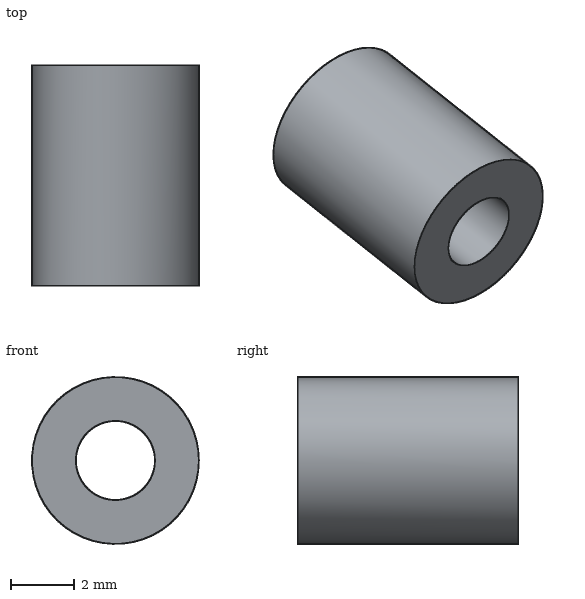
import cadquery as cq

length = 7.0
outer_diameter = 5.3
bore_diameter = 2.5

result = (
    cq.Workplane("XZ")
    .workplane(offset=-length / 2)
    .circle(outer_diameter / 2)
    .circle(bore_diameter / 2)
    .extrude(length)
)